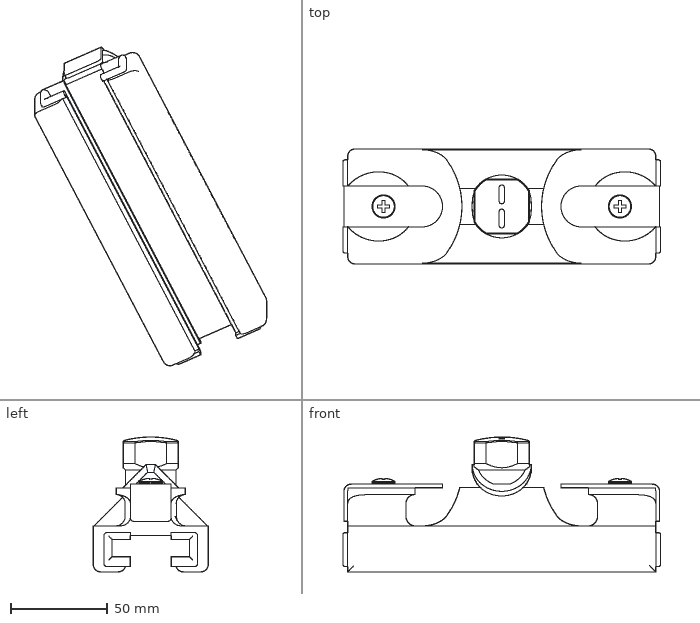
import cadquery as cq
import math

body_length = 160.4
body_width = 60.0
body_height = 24.0
body_edge_radius = 4.0
half_length = body_length / 2

slot_half_width = 10.6
slot_roof_height = 19.0
lip_half_width = 13.0
pocket_half_width = 20.1
pocket_floor = 8.0
liner_thickness = 2.0
pocket_roof = 16.9

collar_outer = 24.3
collar_bottom = 2.8
collar_top = 20.5
collar_depth = 2.5
collar_outer_round = 1.2
collar_mouth_round = 2.1
collar_corner_radius = 1.5

roof_half_base = 29.5
ridge_height = 44.1
roof_apex = body_height + roof_half_base
ridge_half_width = roof_apex - ridge_height
ridge_half_length = 60.0

screw_offset = 61.5
clearance_radius = 40.8
blend_radius = 5.0

roller_offset = 62.9
neck_radius = 13.1
neck_joint_offset = 1.7
neck_tail_half_width = 9.6
flange_radius = 17.8
flange_joint_offset = 6.3
flange_tail_half_width = 7.6
flange_bottom = 40.3
tail_overrun = 2.0
tail_x = -half_length - tail_overrun
bracket_thickness = 2.0
bracket_top = 45.8
bracket_bottom = 26.3
bracket_half_width = 10.65
bracket_bend_radius = 4.0
bracket_tip_offset = 30.8
bracket_corner_radius = 2.0
flange_top = bracket_top - bracket_thickness

screw_diameter = 12.0
screw_rim_height = 1.4
screw_height = 3.0
knurl_count = 36
knurl_width = 0.6
knurl_depth = 0.4
recess_span = 6.4
recess_arm_width = 1.5
recess_depth = 1.5

saddle_half_length = 15.35
saddle_slope_length = 19.7
saddle_thickness = 3.4
saddle_inner_half_flat = 1.6

stem_radius = 13.2
stem_bottom = 45.7
stem_top = 53.1
knob_width = 28.65
knob_corner_radius = 16.5
knob_shoulder = 67.7
knob_top = 70.31
knob_edge_chamfer = 0.5
mark_start = 1.4
mark_end = 11.2
mark_width = 2.7
mark_depth = 0.6


def box(x_range, y_range, z_range):
    """Axis-aligned box from its limits along X, Y and Z."""
    lows, highs = zip(x_range, y_range, z_range)
    sizes = [high - low for low, high in zip(lows, highs)]
    return cq.Workplane("XY").box(*sizes, centered=False).translate(lows)


def cylinder(radius, x, z_low, z_high):
    """Upright cylinder centred on the XZ plane."""
    return cq.Workplane("XY", origin=(x, 0, z_low)).circle(radius).extrude(z_high - z_low)


def both_sides(shape, plane):
    """Shape together with its mirror image in the given plane."""
    return shape.union(shape.mirror(plane))


def make_body():
    x_range = (-half_length, half_length)
    block = box(x_range, (-body_width / 2, body_width / 2), (0, body_height))
    plan = block.edges("|Z").fillet(body_edge_radius)
    channel = block.cut(box(x_range, (-lip_half_width, lip_half_width), (0, slot_roof_height)))
    channel = channel.edges("|X and <Z").fillet(body_edge_radius)

    liner = box(
        x_range,
        (slot_half_width, pocket_half_width),
        (pocket_floor - liner_thickness, slot_roof_height),
    )
    channel = channel.union(both_sides(liner, "XZ"))
    pocket = box(x_range, (-pocket_half_width, pocket_half_width), (pocket_floor, pocket_roof))
    return plan.intersect(channel).cut(pocket)


def make_ridge():
    ridge = (
        cq.Workplane("YZ", origin=(-ridge_half_length, 0, 0))
        .polyline([
            (-roof_half_base, body_height),
            (roof_half_base, body_height),
            (ridge_half_width, ridge_height),
            (-ridge_half_width, ridge_height),
        ])
        .close()
        .extrude(2 * ridge_half_length)
    )
    clearance = cylinder(clearance_radius, -screw_offset, body_height, bracket_top)
    clearance = clearance.faces("<Z").edges().fillet(blend_radius)
    return ridge.cut(both_sides(clearance, "YZ"))


def make_collar():
    """Collar around the +Y pocket opening at the -X end."""
    end = -half_length - collar_depth
    collar = box((end, -half_length), (slot_half_width, collar_outer), (collar_bottom, collar_top))
    collar = collar.edges("|X and >Y").fillet(collar_corner_radius)
    collar = collar.faces("<X").edges("not <Y").fillet(collar_outer_round)
    collar = collar.cut(
        box((end, -half_length), (slot_half_width, pocket_half_width), (pocket_floor, pocket_roof))
    )
    margin = 0.3
    mouth = cq.selectors.BoxSelector(
        (end - margin, slot_half_width + margin, pocket_floor - margin),
        (end + margin, pocket_half_width + margin, pocket_roof + margin),
    )
    return collar.edges(mouth).fillet(collar_mouth_round)


def roller_outline(radius, joint_offset, tail_half_width, z_low, z_high):
    """Upright slab: a round nose running tangentially into two flatter sides and a straight tail."""
    joint_x = joint_offset - roller_offset
    joint_y = math.sqrt(radius**2 - joint_offset**2)
    nose_angle = math.acos(joint_offset / radius) / 2
    nose_x = radius * math.cos(nose_angle) - roller_offset
    nose_y = radius * math.sin(nose_angle)
    half = (
        cq.Workplane("XY", origin=(0, 0, z_low))
        .moveTo(radius - roller_offset, 0)
        .threePointArc((nose_x, nose_y), (joint_x, joint_y))
        .tangentArcPoint((tail_x, tail_half_width), relative=False)
        .lineTo(tail_x, 0)
        .close()
        .extrude(z_high - z_low)
    )
    return both_sides(half, "XZ")


def neck_seam(level):
    """Selects the edges where the neck meets a horizontal face."""
    margin = 0.1
    reach = neck_radius + 1
    return cq.selectors.BoxSelector(
        (tail_x - margin, -reach, level - margin),
        (neck_radius - roller_offset + margin, reach, level + margin),
    )


def make_roller():
    """Roller at the -X end: neck blended into the body below and into the flange above."""
    neck = roller_outline(
        neck_radius, neck_joint_offset, neck_tail_half_width, body_height, flange_bottom
    )
    flange = roller_outline(
        flange_radius, flange_joint_offset, flange_tail_half_width, body_height, flange_top
    )
    x_range = (tail_x - 2 * blend_radius, 0)
    y_range = (-body_width / 2, body_width / 2)
    spool = neck.union(box(x_range, y_range, (0, body_height)))
    spool = spool.union(box(x_range, y_range, (flange_bottom, flange_top)))
    spool = spool.edges(neck_seam(body_height)).fillet(blend_radius)
    spool = spool.edges(neck_seam(flange_bottom)).fillet(flange_radius - neck_radius)

    middle = (body_height + flange_bottom) / 2
    x_range = (-half_length, 0)
    lower = spool.intersect(box(x_range, y_range, (body_height, middle)))
    upper = spool.intersect(flange).intersect(box(x_range, y_range, (middle, flange_top)))
    return lower.union(upper)


def make_bracket():
    """Bent strip over the -X roller with a rounded tip."""
    outer_x = -half_length - bracket_thickness
    width_range = (-bracket_half_width, bracket_half_width)
    tip_x = -bracket_tip_offset - bracket_half_width
    strip = box((outer_x, tip_x), width_range, (bracket_bottom, bracket_top))
    strip = strip.edges("|Y and <X and >Z").fillet(bracket_bend_radius)
    strip = strip.edges("|X and <Z").fillet(bracket_corner_radius)
    strip = strip.union(cylinder(bracket_half_width, tip_x, flange_top, bracket_top))
    inside = box((-half_length, 0), width_range, (0, flange_top))
    inside = inside.edges("|Y and <X and >Z").fillet(bracket_bend_radius - bracket_thickness)
    return strip.cut(inside)


def domed_cylinder(radius, x, bottom, shoulder, top):
    """Upright cylinder closed by a spherical cap that rises from the shoulder to the top."""
    rise = top - shoulder
    dome_radius = (radius**2 + rise**2) / (2 * rise)
    dome = cq.Workplane("XY").sphere(dome_radius).translate((x, 0, top - dome_radius))
    return cylinder(radius, x, bottom, top).intersect(dome)


def make_screw():
    """Screw head on the -X bracket."""
    radius = screw_diameter / 2
    shoulder = bracket_top + screw_rim_height
    top = bracket_top + screw_height
    screw = domed_cylinder(radius, -screw_offset, bracket_top, shoulder, top)
    knurls = (
        cq.Workplane("XY", origin=(-screw_offset, 0, bracket_top))
        .polarArray(radius, 0, 360, knurl_count)
        .rect(2 * knurl_depth, knurl_width)
        .extrude(screw_rim_height)
    )
    recess = (
        cq.Workplane("XY", origin=(-screw_offset, 0, top - recess_depth))
        .rect(recess_span, recess_arm_width)
        .extrude(recess_depth)
    )
    crossing = recess.rotate((-screw_offset, 0, 0), (-screw_offset, 0, 1), 90)
    return screw.cut(knurls).cut(recess).cut(crossing)


def make_saddle():
    """Two half-elliptic wings lying on the roof slopes, joined by a bar over the ridge."""
    slope_plane = cq.Plane(origin=(0, 0, roof_apex), xDir=(1, 0, 0), normal=(0, 1, 1))
    wing = (
        cq.Workplane(slope_plane)
        .moveTo(saddle_half_length, 0)
        .ellipseArc(saddle_half_length, saddle_slope_length, 0, 180)
        .close()
        .extrude(saddle_thickness)
    )
    top_offset = saddle_thickness / math.sqrt(2)
    bar = (
        cq.Workplane("YZ", origin=(-saddle_half_length, 0, 0))
        .polyline([
            (0, roof_apex + top_offset),
            (top_offset, roof_apex + top_offset),
            (saddle_inner_half_flat, roof_apex - saddle_inner_half_flat),
            (0, roof_apex - saddle_inner_half_flat),
        ])
        .close()
        .extrude(2 * saddle_half_length)
    )
    return both_sides(wing, "XZ").union(both_sides(bar, "XZ"))


def make_knob():
    """Square knob with rounded corners, a conical underside, a domed top and a round stem."""
    stem = cylinder(stem_radius, 0, stem_bottom, stem_top)
    cone_height = knob_corner_radius - stem_radius
    head = domed_cylinder(knob_corner_radius, 0, stem_top, knob_shoulder, knob_top)
    head = head.faces("<Z").edges().chamfer(cone_height)
    half = knob_width / 2
    head = head.intersect(box((-half, half), (-half, half), (stem_top, knob_top)))
    head = head.faces(">Z").edges().chamfer(knob_edge_chamfer)

    mark = (
        cq.Workplane("XY", origin=(0, (mark_start + mark_end) / 2, stem_top))
        .slot2D(mark_end - mark_start, mark_width, 90)
        .extrude(knob_top - stem_top)
    )
    dome_core = domed_cylinder(
        knob_corner_radius, 0, stem_top, knob_shoulder - mark_depth, knob_top - mark_depth
    )
    groove = mark.cut(dome_core)
    return head.union(stem).cut(both_sides(groove, "XZ"))


def make_end():
    """Everything mounted at the -X end."""
    collars = both_sides(make_collar(), "XZ")
    return make_roller().union(make_bracket()).union(make_screw()).union(collars)


result = make_body().union(make_ridge()).union(both_sides(make_end(), "YZ"))
result = result.union(make_saddle()).union(make_knob())